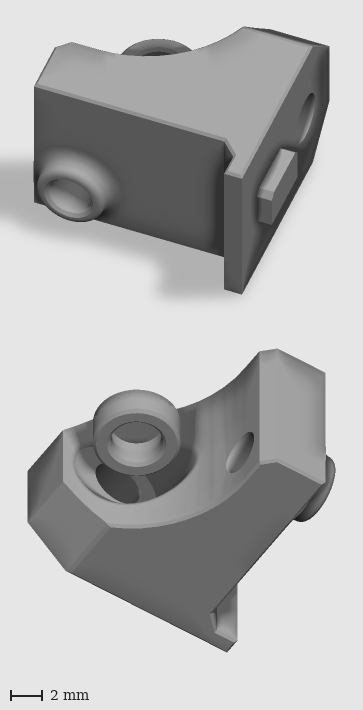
import cadquery as cq
import math

height = 11.0
plate_x = 15.0
front_y = 2.56
shelf_y = 6.97
arm_y = 14.97
lip_thickness = 1.2
lip_bevel = 1.0
left_bevel = 0.83
arc_start_x = 2.53
arc_radius = 8.48
edge_chamfer = 0.17
arm_end_low = 3.0
arm_end_high = height - arm_end_low

boss_x = 2.86
boss_z = 3.0
boss_tip_y = 1.2
boss_radius = 2.25
boss_rounding = 0.42
boss_flare = front_y - boss_tip_y - boss_rounding
boss_hole_radius = 2.9 / 2
boss_hole_chamfer = 0.2

arm_hole_y = 10.86
arm_hole_z = height / 2
arm_hole_diameter = 3.3
recess_radius = 2.97
recess_rounding = 0.5
recess_floor_x = 11.0

key_depth = 1.0
key_y = (front_y, shelf_y)
key_z = (4.0, 7.03)
key_chamfer = 0.4

ring_x = 3.8
ring_diameter = 5.5
ring_y = 16.95 - ring_diameter / 2
ring_bore = 3.3
ring_height = 2.25
ring_chamfer = 0.2


def arc_x(y):
    """X of the concave back surface at a given Y."""
    center_y = shelf_y + arc_radius
    return arc_start_x + math.sqrt(arc_radius**2 - (center_y - y) ** 2)


def make_block():
    lip_x = plate_x - lip_thickness
    arc_mid_angle = math.radians(40)
    arc_mid = (
        arc_start_x + arc_radius * math.sin(arc_mid_angle),
        shelf_y + arc_radius * (1 - math.cos(arc_mid_angle)),
    )
    block = (
        cq.Workplane("XY")
        .moveTo(0, front_y)
        .lineTo(lip_x - lip_bevel, front_y)
        .lineTo(lip_x, front_y - lip_bevel)
        .lineTo(lip_x, 0)
        .lineTo(plate_x, 0)
        .lineTo(plate_x, arm_y)
        .lineTo(arc_x(arm_y), arm_y)
        .threePointArc(arc_mid, (arc_start_x, shelf_y))
        .lineTo(left_bevel, shelf_y)
        .lineTo(0, shelf_y - left_bevel)
        .close()
        .extrude(height)
    )
    slope_start_y = arm_y - arm_end_low
    side_outline = (
        cq.Workplane("YZ")
        .polyline([
            (0, 0),
            (slope_start_y, 0),
            (arm_y, arm_end_low),
            (arm_y, arm_end_high),
            (slope_start_y, height),
            (0, height),
        ])
        .close()
        .extrude(plate_x)
    )
    block = block.intersect(side_outline)
    return block.faces("<Z or >Z").edges().chamfer(edge_chamfer)


def add_recess(block):
    """Round the mouth of a cross bore, then fill the bore up to the recess floor."""
    def cross_cylinder(radius, start_x):
        return (
            cq.Workplane("YZ", origin=(start_x, arm_hole_y, arm_hole_z))
            .circle(radius)
            .extrude(plate_x - start_x)
        )

    block = block.cut(cross_cylinder(recess_radius, 0))
    mouth = cq.selectors.BoxSelector(
        (arc_start_x, arm_hole_y - recess_radius - 0.17, arm_hole_z - recess_radius - 0.17),
        (recess_floor_x, arm_hole_y + recess_radius + 0.17, arm_hole_z + recess_radius + 0.17),
        boundingbox=True,
    )
    block = block.edges(mouth).fillet(recess_rounding)
    block = block.union(cross_cylinder(recess_radius + 2 * recess_rounding, recess_floor_x))
    return block.cut(cross_cylinder(arm_hole_diameter / 2, 0))


def make_boss():
    """Turned boss with a flared base, trimmed to the block's left face and bottom bevel."""
    flare_edge = boss_radius + boss_flare
    flare_start_y = front_y - boss_flare
    diagonal = math.sqrt(0.5)
    boss = (
        cq.Workplane("XY")
        .moveTo(0, boss_tip_y)
        .lineTo(boss_radius - boss_rounding, boss_tip_y)
        .threePointArc(
            (boss_radius - boss_rounding * (1 - diagonal), boss_tip_y + boss_rounding * (1 - diagonal)),
            (boss_radius, boss_tip_y + boss_rounding),
        )
        .threePointArc(
            (flare_edge - boss_flare * diagonal, flare_start_y + boss_flare * diagonal),
            (flare_edge, front_y),
        )
        .lineTo(0, front_y)
        .close()
        .revolve(360, (0, 0, 0), (0, 1, 0))
        .translate((boss_x, 0, boss_z))
    )
    trim = (
        cq.Workplane("XY", origin=(0, 0, edge_chamfer))
        .box(plate_x, front_y, height, centered=False)
    )
    return boss.intersect(trim)


def make_boss_hole():
    mouth_radius = boss_hole_radius + boss_hole_chamfer
    return (
        cq.Workplane("XY")
        .polyline([
            (0, boss_tip_y),
            (mouth_radius, boss_tip_y),
            (boss_hole_radius, boss_tip_y + boss_hole_chamfer),
            (boss_hole_radius, arm_y),
            (0, arm_y),
        ])
        .close()
        .revolve(360, (0, 0, 0), (0, 1, 0))
        .translate((boss_x, 0, boss_z))
    )


def make_key():
    """Key with chamfered long edges and a chamfer under its outer end."""
    key = (
        cq.Workplane("XY", origin=(plate_x, key_y[0], key_z[0]))
        .box(key_depth, key_y[1] - key_y[0], key_z[1] - key_z[0], centered=False)
    )
    return key.edges("|X").chamfer(key_chamfer).faces("<Z").edges(">X").chamfer(key_chamfer)


def make_bracket():
    bracket = add_recess(make_block())
    bracket = bracket.union(make_boss()).cut(make_boss_hole())
    return bracket.union(make_key())


def make_ring():
    return (
        cq.Workplane("XY", origin=(ring_x, ring_y, 0))
        .circle(ring_diameter / 2)
        .circle(ring_bore / 2)
        .extrude(ring_height)
        .faces("<Z or >Z")
        .edges()
        .chamfer(ring_chamfer)
    )


bracket = make_bracket()
ring = make_ring()

result = cq.Compound.makeCompound([bracket.val(), ring.val()])